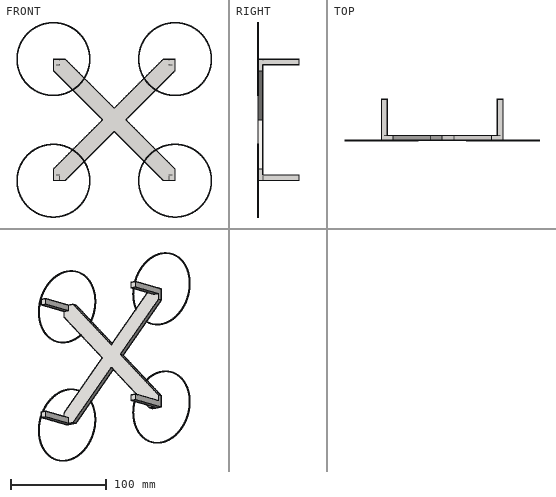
import cadquery as cq
import math

overall_size = 204.0
ring_width = 0.5
ring_depth = 1.0
ring_outer_radius = 38.3

tip_offset = overall_size / 2 - ring_outer_radius
tip_edge = 12.2
arm_width = tip_edge * math.sqrt(2)
arm_length = 2 * math.sqrt(2) * tip_offset
arm_thickness = 5.0

total_depth = 43.6
leg_side = 6.1
leg_depth = total_depth - ring_depth / 2

corner_signs = [(sx, sz) for sx in (-1, 1) for sz in (-1, 1)]


def y_extrusion(sketch, start, depth):
    """Extrude an XZ sketch from y = start toward +Y."""
    return sketch.extrude(-depth).translate((0, start, 0))


def make_arm(angle):
    """A flat diagonal bar whose ends come to a right-angled point."""
    bar = y_extrusion(cq.Workplane("XZ").rect(arm_length, arm_width), 0, arm_thickness)
    bar = bar.rotate((0, 0, 0), (0, 1, 0), angle)
    tip_square = y_extrusion(cq.Workplane("XZ").rect(2 * tip_offset, 2 * tip_offset), 0, arm_thickness)
    return bar.intersect(tip_square)


def make_leg(sx, sz):
    """A square post with its outer corner on the arm tip."""
    centre = tip_offset - leg_side / 2
    sketch = cq.Workplane("XZ").center(sx * centre, sz * centre).rect(leg_side, leg_side)
    return y_extrusion(sketch, 0, leg_depth)


def make_ring(sx, sz):
    """A thin hoop around the arm tip, half sunk into the arm's front face."""
    sketch = (
        cq.Workplane("XZ")
        .center(sx * tip_offset, sz * tip_offset)
        .circle(ring_outer_radius)
        .circle(ring_outer_radius - ring_width)
    )
    return y_extrusion(sketch, -ring_depth / 2, ring_depth)


frame = make_arm(45).union(make_arm(-45))
for sx, sz in corner_signs:
    frame = frame.union(make_leg(sx, sz))
    frame = frame.union(make_ring(sx, sz))

result = frame